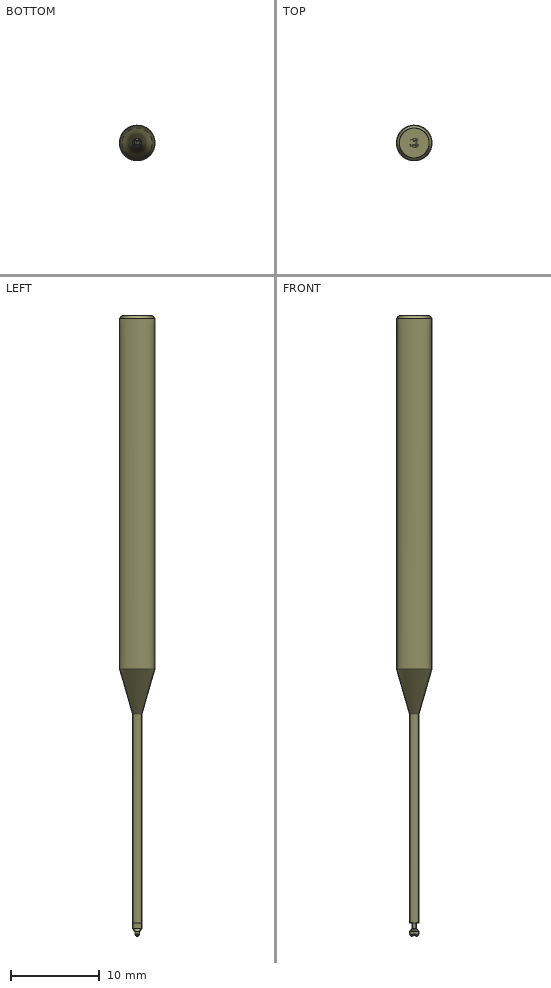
import cadquery as cq

total_length = 70.0
shank_radius = 2.0
shank_chamfer = 0.315
shank_length = 39.8
cone_length = 5.1
neck_radius = 0.525

tip_length = 1.55
web_bottom = 0.9
blade_top = 0.55
web_half_thickness = 0.245
blade_half_thickness = 0.3
edge_half_thickness = 0.1
bevel_height = 0.3
lip_offset = 0.315
notch_depth = 0.15

cone_top = total_length - shank_length
cone_bottom = cone_top - cone_length


def make_shank():
    """Chamfered shank, tapering cone and slender neck, revolved about Z."""
    return (
        cq.Workplane("XZ")
        .moveTo(0, tip_length)
        .lineTo(neck_radius, tip_length)
        .lineTo(neck_radius, cone_bottom)
        .lineTo(shank_radius, cone_top)
        .lineTo(shank_radius, total_length - shank_chamfer)
        .lineTo(shank_radius - shank_chamfer, total_length)
        .lineTo(0, total_length)
        .close()
        .revolve(360, (0, 0, 0), (0, 1, 0))
    )


def tip_prism(plane, outline):
    """Solid with the given side outline, spanning the whole tip."""
    return cq.Workplane(plane).polyline(outline).close().extrude(neck_radius, both=True)


def bevelled_profile(plane, bottom_half_width, side_half_width):
    """Symmetric side profile bevelled at its bottom corners."""
    return tip_prism(plane, [
        (-bottom_half_width, 0),
        (bottom_half_width, 0),
        (side_half_width, bevel_height),
        (side_half_width, tip_length),
        (-side_half_width, tip_length),
        (-side_half_width, bevel_height),
    ])


def make_cutting_tip():
    """Oval web blending into a bevelled and notched oval blade."""
    blade = (
        cq.Workplane("XY")
        .ellipse(neck_radius, blade_half_thickness)
        .extrude(blade_top)
        .intersect(bevelled_profile("XZ", lip_offset, neck_radius))
        .intersect(bevelled_profile("YZ", edge_half_thickness, blade_half_thickness))
    )
    transition = (
        cq.Workplane("XY", origin=(0, 0, blade_top))
        .ellipse(neck_radius, blade_half_thickness)
        .workplane(offset=web_bottom - blade_top)
        .ellipse(web_half_thickness, neck_radius)
        .loft()
    )
    web = (
        cq.Workplane("XY", origin=(0, 0, web_bottom))
        .ellipse(web_half_thickness, neck_radius)
        .extrude(tip_length - web_bottom)
    )
    notch = tip_prism("XZ", [(-lip_offset, 0), (0, notch_depth), (lip_offset, 0)])
    return cq.Workplane(blade.union(transition).union(web).cut(notch).solids().val())


shank = make_shank()
cutting_tip = make_cutting_tip()
result = cq.Compound.makeCompound([shank.val(), cutting_tip.val()])